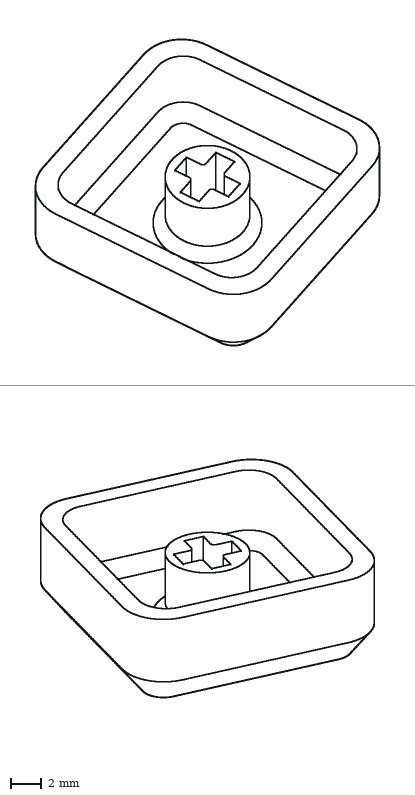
import cadquery as cq

side = 18.05
height = 6.7
corner_radius = 3.0
bottom_inset = 1.5
bottom_taper_height = 2.0

wall = 1.35
cavity_radius = 2.0
floor_height = 1.2
floor_taper = 1.0

stem_diameter = 5.6
stem_recess = 1.0
stem_flare = 0.8
cross_length = 4.25
cross_arm_x_width = 1.39
cross_arm_y_width = 1.48
cross_fillet = 0.25


def rounded_square(size, radius, z):
    """Wire of a centred square with rounded corners at height z."""
    square = cq.Workplane("XY").rect(size, size).extrude(0.18).edges("|Z").fillet(radius)
    return square.faces("<Z").wires().val().translate(cq.Vector(0, 0, z))


def tapered_square_block(size, radius, inset, z_bottom, z_taper, z_top):
    """Rounded square block that narrows by inset on each side towards its bottom."""
    lower = rounded_square(size - 2 * inset, radius - inset, z_bottom)
    upper = rounded_square(size, radius, z_taper)
    taper = cq.Workplane(cq.Solid.makeLoft([lower, upper], True))
    straight = (
        cq.Workplane("XY", origin=(0, 0, z_taper))
        .rect(size, size)
        .extrude(z_top - z_taper)
        .edges("|Z")
        .fillet(radius)
    )
    return taper.union(straight)


def make_stem():
    """Round stem with a conical flare where it meets the floor."""
    radius = stem_diameter / 2
    top = height - stem_recess
    profile = [
        (0, floor_height),
        (radius + stem_flare, floor_height),
        (radius, floor_height + stem_flare),
        (radius, top),
        (0, top),
    ]
    return cq.Workplane("XZ").polyline(profile).close().revolve(360, (0, 0), (0, 1))


def make_cross_socket():
    """Cross with rounded inner corners, running from the floor to the stem top."""
    depth = height - stem_recess - floor_height
    plane = cq.Workplane("XY", origin=(0, 0, floor_height))
    arm_x = plane.rect(cross_length, cross_arm_x_width).extrude(depth)
    arm_y = plane.rect(cross_arm_y_width, cross_length).extrude(depth)
    inner_corners = cq.selectors.BoxSelector(
        (-cross_arm_y_width, -cross_arm_x_width, floor_height),
        (cross_arm_y_width, cross_arm_x_width, floor_height + depth),
    )
    return arm_x.union(arm_y).edges("|Z").edges(inner_corners).fillet(cross_fillet)


shell = tapered_square_block(
    side, corner_radius, bottom_inset, 0, bottom_taper_height, height
)
cavity = tapered_square_block(
    side - 2 * wall, cavity_radius, floor_taper, floor_height, floor_height + floor_taper, height
)

result = shell.cut(cavity).union(make_stem()).cut(make_cross_socket())